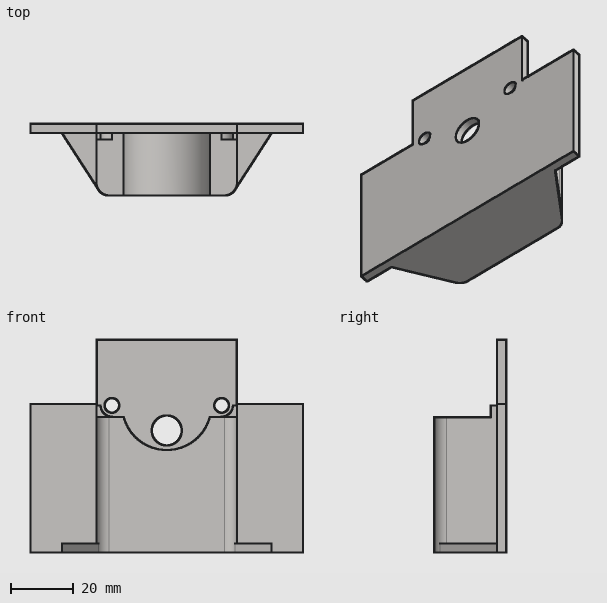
import cadquery as cq
import math

PLATE_WIDTH = 87.0
PLATE_HEIGHT = 47.5
PLATE_THICKNESS = 3.0
BODY_WIDTH = 44.8
TOTAL_HEIGHT = 68.0
TOTAL_DEPTH = 23.0

BLOCK_HEIGHT = 43.25
CORNER_RADIUS = 4.0
SADDLE_RADIUS = 14.25
SADDLE_AXIS_HEIGHT = 47.0

SHAFT_HOLE_DIAMETER = 9.5
SHAFT_HOLE_HEIGHT = 39.0
SCREW_HOLE_DIAMETER = 4.6
SCREW_SPACING = 35.0
SCREW_HEIGHT = SADDLE_AXIS_HEIGHT

TAB_THICKNESS = 2.0
SCREW_CLEARANCE_RADIUS = 3.6

GUSSET_THICKNESS = 3.0
GUSSET_REACH = 33.5

PLATE_FRONT = -PLATE_THICKNESS
BODY_HALF = BODY_WIDTH / 2
SCREW_X = SCREW_SPACING / 2
SIDES = (-1, 1)


def box(x_range, y_range, z_range):
    """Box between two limits on each axis."""
    size = [abs(limits[1] - limits[0]) for limits in (x_range, y_range, z_range)]
    corner = (min(x_range), min(y_range), min(z_range))
    return cq.Workplane("XY").box(*size, centered=False).translate(corner)


def rod(x, z, radius, y_back, y_front):
    """Cylinder along Y from y_back forward to y_front."""
    plane = cq.Workplane("XZ", origin=(x, y_back, z))
    return plane.circle(radius).extrude(y_back - y_front)


def make_plate():
    depth = (PLATE_FRONT, 0)
    wings = box((-PLATE_WIDTH / 2, PLATE_WIDTH / 2), depth, (0, PLATE_HEIGHT))
    tower = box((-BODY_HALF, BODY_HALF), depth, (0, TOTAL_HEIGHT))
    return wings.union(tower)


def make_block():
    block = box((-BODY_HALF, BODY_HALF), (-TOTAL_DEPTH, PLATE_FRONT), (0, BLOCK_HEIGHT))
    block = block.edges("|Z and <Y").fillet(CORNER_RADIUS)
    saddle = rod(0, SADDLE_AXIS_HEIGHT, SADDLE_RADIUS, PLATE_FRONT, -TOTAL_DEPTH)
    return block.cut(saddle)


def make_tab(side):
    """Tab from the block's side to below the screw axis, cut round the screw."""
    y_front = PLATE_FRONT - TAB_THICKNESS
    tab = box(
        (side * SCREW_X, side * BODY_HALF),
        (y_front, PLATE_FRONT),
        (BLOCK_HEIGHT, SCREW_HEIGHT),
    )
    clearance = rod(side * SCREW_X, SCREW_HEIGHT, SCREW_CLEARANCE_RADIUS, PLATE_FRONT, y_front)
    return tab.cut(clearance)


def make_gusset(side):
    """Flat gusset whose sloping edge runs tangent to the block's rounded corner."""
    corner_x = BODY_HALF - CORNER_RADIUS
    corner_y = CORNER_RADIUS - TOTAL_DEPTH
    run = GUSSET_REACH - corner_x
    rise = PLATE_FRONT - corner_y
    angle = math.atan2(rise, run) - math.acos(CORNER_RADIUS / math.hypot(run, rise))
    tangent_x = corner_x + CORNER_RADIUS * math.cos(angle)
    tangent_y = corner_y + CORNER_RADIUS * math.sin(angle)
    outline = [
        (side * corner_x, PLATE_FRONT),
        (side * GUSSET_REACH, PLATE_FRONT),
        (side * tangent_x, tangent_y),
        (side * corner_x, corner_y),
    ]
    return cq.Workplane("XY").polyline(outline).close().extrude(GUSSET_THICKNESS)


def cut_holes(body):
    body = body.cut(rod(0, SHAFT_HOLE_HEIGHT, SHAFT_HOLE_DIAMETER / 2, 0, PLATE_FRONT))
    for side in SIDES:
        screw_hole = rod(side * SCREW_X, SCREW_HEIGHT, SCREW_HOLE_DIAMETER / 2, 0, PLATE_FRONT)
        body = body.cut(screw_hole)
    return body


part = make_plate().union(make_block())
for side in SIDES:
    part = part.union(make_tab(side)).union(make_gusset(side))

result = cut_holes(part)